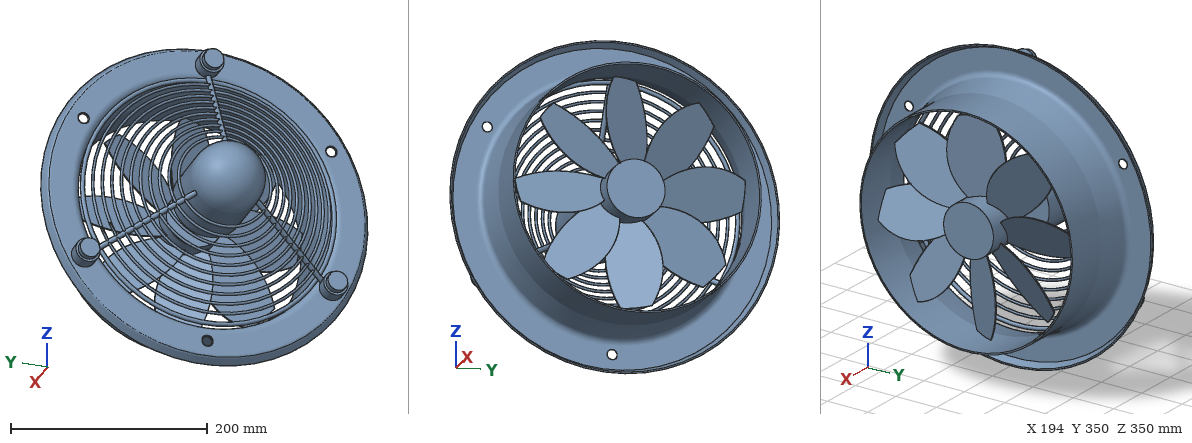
import cadquery as cq
import math


wall = 1.8
duct_end = 90.0
duct_radius = 131.5
duct_start = 38.0
funnel_slope = 0.19
mouth_fillet = 8.8
rim_radius = 175.0
rim_depth = 10.5
rim_slope = 0.48
rim_fillet = 4.5

fixing_count = 3
fixing_radius = 153.0
hole_radius = 5.2
hole_chamfer = 0.88
foot_radius = 13.0
foot_height = 14.7
cap_radius = 10.5
cap_height = 6.5

motor_radius = 38.5
motor_front = -65.5
motor_back = -2.5
shaft_radius = 5.0
hub_radius = 30.8
hub_front = 40.2
hub_length = 45.5

blade_count = 8
blade_root = 26.2
blade_tip = 120.8
left_root_y = 17.5
left_belly = (21.7, 72.8)
left_tip_y = 8.0
right_root_y = -8.8
right_belly = (-30.0, 78.8)
right_tip_y = -20.3
blade_thickness = 1.8
blade_pitch = 30.0

ring_count = 10
ring_wire = 1.5
first_ring_x = -56.5
first_ring_radius = 49.5
last_ring_x = -12.0
last_ring_radius = 126.7
ring_step_x = (last_ring_x - first_ring_x) / (ring_count - 1)
ring_step_radius = (last_ring_radius - first_ring_radius) / (ring_count - 1)
outer_ring_x = -3.0
outer_ring_radius = 134.8
outer_ring_wire = 2.28
rod_radius = 2.8
rod_drop = 2.5


def cylinder(radius, start, end):
    """Cylinder on the fan axis from X = start to X = end."""
    return cq.Workplane("YZ").workplane(offset=start).circle(radius).extrude(end - start)


def around_axis(shape, count):
    """Copies of a shape spaced evenly about the fan axis."""
    copies = []
    for i in range(count):
        angle = 360.0 * i / count
        copies.append(shape.rotate((0, 0, 0), (1, 0, 0), angle))
    return copies


def funnel_radius(x):
    return duct_radius + funnel_slope * (duct_start - x)


def rim_edge_radius(x):
    return rim_radius - rim_slope * (rim_depth - x)


def circle_at(x, radius):
    """Selector for the round edge through the point (x, 0, radius)."""
    return cq.selectors.BoxSelector(
        (x - 0.5, -radius - 0.5, -radius - 0.5),
        (x + 0.5, radius + 0.5, radius + 0.5),
        boundingbox=True,
    )


def make_hole():
    """Cutter for one fixing hole, chamfered at the front face of the flange."""
    bore = cylinder(hole_radius, 0, 2 * wall)
    mouth = cq.Solid.makeCone(
        hole_radius + hole_chamfer, hole_radius, hole_chamfer, cq.Vector(0, 0, 0), cq.Vector(1, 0, 0)
    )
    return bore.union(cq.Workplane(mouth)).translate((0, 0, -fixing_radius))


def make_housing():
    """Duct, funnel, flat flange and turned-back rim, all one sheet thick."""
    throat_radius = funnel_radius(0) - wall
    shell = (
        cq.Workplane("XZ")
        .moveTo(duct_end, duct_radius - wall)
        .lineTo(duct_start, duct_radius - wall)
        .lineTo(0, throat_radius)
        .lineTo(0, rim_edge_radius(0))
        .lineTo(rim_depth, rim_radius)
        .lineTo(rim_depth, rim_radius - wall)
        .lineTo(wall, rim_edge_radius(wall) - wall)
        .lineTo(wall, funnel_radius(wall))
        .lineTo(duct_start, duct_radius)
        .lineTo(duct_end, duct_radius)
        .close()
        .revolve(360, (0, 0, 0), (1, 0, 0))
    )
    shell = shell.edges(circle_at(0, throat_radius)).fillet(mouth_fillet)
    shell = shell.edges(circle_at(wall, funnel_radius(wall))).fillet(mouth_fillet - wall)
    shell = shell.edges(circle_at(0, rim_edge_radius(0))).fillet(rim_fillet)
    for hole in around_axis(make_hole(), fixing_count):
        shell = shell.cut(hole)
    return shell


def make_foot():
    """Stepped round foot of the guard, standing on the flange."""
    body = cylinder(foot_radius, -foot_height, 0)
    cap = cylinder(cap_radius, -foot_height - cap_height, -foot_height)
    return body.union(cap).translate((0, 0, fixing_radius))


def make_ring(x, radius, wire):
    """Round wire ring about the fan axis."""
    return cq.Workplane(cq.Solid.makeTorus(radius, wire, cq.Vector(x, 0, 0), cq.Vector(1, 0, 0)))


def make_rod():
    """Straight rod along the cone of the guard rings, from the motor into a foot."""
    slope = ring_step_radius / ring_step_x
    start_radius = motor_radius - rod_radius
    end_radius = fixing_radius - foot_radius + rod_radius
    start_x = first_ring_x + (start_radius + rod_drop - first_ring_radius) / slope
    length = (end_radius - start_radius) * math.hypot(1, slope) / slope
    axis = cq.Vector(1, 0, slope)
    start = cq.Vector(start_x, 0, start_radius)
    return cq.Workplane(cq.Solid.makeCylinder(rod_radius, length, start, axis))


def make_rotor():
    """Motor drum with a hemispherical nose, its shaft and the fan hub."""
    nose_reach = motor_radius * math.sqrt(0.5)
    return (
        cq.Workplane("XZ")
        .moveTo(motor_front - motor_radius, 0)
        .threePointArc((motor_front - nose_reach, nose_reach), (motor_front, motor_radius))
        .lineTo(motor_back, motor_radius)
        .lineTo(motor_back, shaft_radius)
        .lineTo(hub_front, shaft_radius)
        .lineTo(hub_front, hub_radius)
        .lineTo(hub_front + hub_length, hub_radius)
        .lineTo(hub_front + hub_length, 0)
        .close()
        .revolve(360, (0, 0, 0), (1, 0, 0))
    )


def tip_height(y):
    """Height of the blade tip circle at sideways position y."""
    return math.sqrt(blade_tip**2 - y**2)


def make_blade():
    """Pitched flat blade pointing up, trimmed to its outline along the fan axis."""
    left_tip = (left_tip_y, tip_height(left_tip_y))
    right_tip = (right_tip_y, tip_height(right_tip_y))
    outline = (
        cq.Workplane("YZ")
        .moveTo(left_root_y, blade_root)
        .threePointArc(left_belly, left_tip)
        .threePointArc((0, blade_tip), right_tip)
        .threePointArc(right_belly, (right_root_y, blade_root))
        .close()
        .extrude(rim_radius, both=True)
    )
    plate = (
        cq.Workplane("XY")
        .box(blade_thickness, rim_radius, 2 * blade_tip)
        .rotate((0, 0, 0), (0, 0, 1), blade_pitch)
        .translate((hub_front + hub_length / 2, 0, blade_tip))
    )
    return plate.intersect(outline)


result = make_housing().union(make_rotor())
for foot in around_axis(make_foot(), fixing_count):
    result = result.union(foot)
for rod in around_axis(make_rod(), fixing_count):
    result = result.union(rod)
for blade in around_axis(make_blade(), blade_count):
    result = result.union(blade)
for i in range(ring_count):
    ring_x = first_ring_x + i * ring_step_x
    ring_radius = first_ring_radius + i * ring_step_radius
    result = result.union(make_ring(ring_x, ring_radius, ring_wire))
result = result.union(make_ring(outer_ring_x, outer_ring_radius, outer_ring_wire))